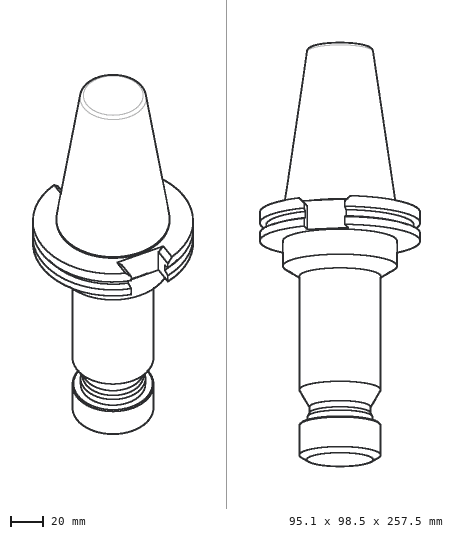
import cadquery as cq

total_height = 257.5
nut_chamfer_top = 2.8
nut_top = 22.2
nut_top_chamfer = 0.8
collar_top = 26.8
neck_bottom = 29.0
neck_top = 33.0
shank_bottom = 43.8
shank_top = 115.0
body_bottom = 121.3
flange_bottom = 137.0
flange_top = 155.0
gauge_height = 156.0

nut_face_diameter = 40.7
shank_diameter = 50.0
nut_diameter = shank_diameter
collar_diameter = 40.0
neck_diameter = 37.5
body_diameter = 70.0
flange_diameter = 98.5
groove_diameter = 90.7
relief_diameter = 69.3
gauge_diameter = 69.8

taper_ratio = 7 / 24
tip_fillet_radius = 2.0

groove_lower_edge = 142.0
groove_upper_edge = 148.5
groove_wall_height = 1.3

slot_width = 25.5
slot_chamfer = 3.3
left_slot_floor = 37.5
right_slot_floor = 35.3


def make_turned_body():
    """Revolve the half profile, given as (diameter, height), about Z and round the tip."""
    tip_diameter = gauge_diameter - taper_ratio * (total_height - gauge_height)
    profile = [
        (0, 0),
        (nut_face_diameter, 0),
        (nut_diameter, nut_chamfer_top),
        (nut_diameter, nut_top - nut_top_chamfer),
        (nut_diameter - 2 * nut_top_chamfer, nut_top),
        (collar_diameter, nut_top),
        (collar_diameter, collar_top),
        (neck_diameter, neck_bottom),
        (neck_diameter, neck_top),
        (shank_diameter, shank_bottom),
        (shank_diameter, shank_top),
        (body_diameter, body_bottom),
        (body_diameter, flange_bottom),
        (flange_diameter, flange_bottom),
        (flange_diameter, groove_lower_edge),
        (groove_diameter, groove_lower_edge + groove_wall_height),
        (groove_diameter, groove_upper_edge - groove_wall_height),
        (flange_diameter, groove_upper_edge),
        (flange_diameter, flange_top),
        (relief_diameter, flange_top),
        (relief_diameter, gauge_height),
        (gauge_diameter, gauge_height),
        (tip_diameter, total_height),
        (0, total_height),
    ]
    points = [(diameter / 2, height) for diameter, height in profile]
    body = cq.Workplane("XZ").polyline(points).close().revolve(360, (0, 0), (0, 1))
    return body.faces(">Z").edges().fillet(tip_fillet_radius)


def make_slot_cutter(floor, side):
    """Flange slot outward of |X| = floor; side is -1 for -X and +1 for +X."""
    half_width = slot_width / 2
    outline = [
        (-half_width, flange_bottom),
        (half_width, flange_bottom),
        (half_width, flange_top - slot_chamfer),
        (half_width + slot_chamfer, flange_top),
        (-half_width - slot_chamfer, flange_top),
        (-half_width, flange_top - slot_chamfer),
    ]
    plane = cq.Workplane("YZ", origin=(side * floor, 0, 0))
    return plane.polyline(outline).close().extrude(side * flange_diameter / 2)


result = (
    make_turned_body()
    .cut(make_slot_cutter(left_slot_floor, -1))
    .cut(make_slot_cutter(right_slot_floor, 1))
)